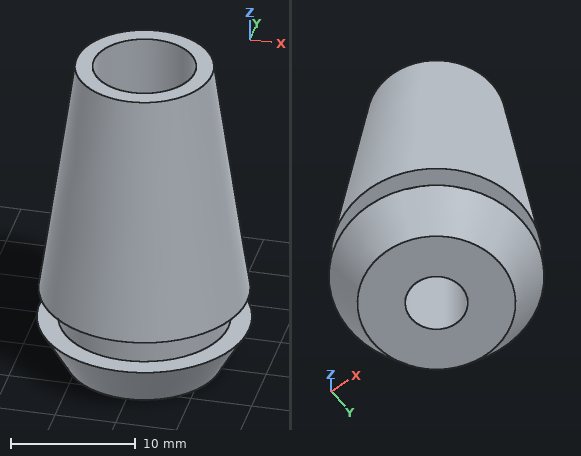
import cadquery as cq
import math

total_height = 27.5
nose_height = 4.0
groove_width = 2.72
body_base = nose_height + groove_width

nose_rim_radius = 8.64
nose_angle = 30.0
groove_radius = 6.93
body_base_radius = 8.5
body_angle = 8.0
nose_tip_radius = nose_rim_radius - nose_height * math.tan(math.radians(nose_angle))
body_top_radius = body_base_radius - (total_height - body_base) * math.tan(math.radians(body_angle))

bore_radius = 2.5
counterbore_radius = 4.15
counterbore_depth = 16.5


def make_collet_body():
    """Revolve the tapered body, the groove and the nose about Z."""
    return (
        cq.Workplane("XZ")
        .moveTo(0, 0)
        .lineTo(nose_tip_radius, 0)
        .lineTo(nose_rim_radius, nose_height)
        .lineTo(groove_radius, nose_height)
        .lineTo(groove_radius, body_base)
        .lineTo(body_base_radius, body_base)
        .lineTo(body_top_radius, total_height)
        .lineTo(0, total_height)
        .close()
        .revolve(360, (0, 0, 0), (0, 1, 0))
    )


def cut_stepped_bore(body):
    """Cut the through bore and the wider bore entering from the top."""
    return (
        body.faces(">Z")
        .workplane()
        .cboreHole(2 * bore_radius, 2 * counterbore_radius, counterbore_depth)
    )


result = cut_stepped_bore(make_collet_body())